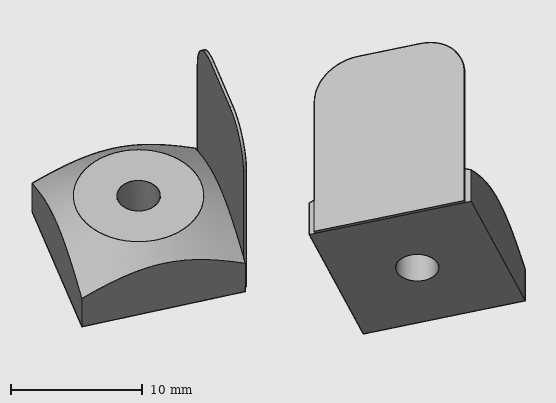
import cadquery as cq
import math

block_side = 13.0
block_height = 6.0
hole_diameter = 3.3
top_face_diameter = 9.92
chamfer_angle = 35.0
corner_clearance = 0.16

plate_width = 12.0
plate_height = 16.0
plate_thickness = 0.25
plate_corner_radius = 3.5


def make_block():
    """Square block, trimmed by a cone around its vertical hole."""
    square = cq.Workplane("XY").rect(block_side, block_side).extrude(block_height)

    top_radius = top_face_diameter / 2
    envelope_radius = block_side * math.sqrt(2) / 2 + corner_clearance
    cone_drop = (envelope_radius - top_radius) * math.tan(math.radians(chamfer_angle))
    envelope = (
        cq.Workplane("XZ")
        .moveTo(0, 0)
        .lineTo(envelope_radius, 0)
        .lineTo(envelope_radius, block_height - cone_drop)
        .lineTo(top_radius, block_height)
        .lineTo(0, block_height)
        .close()
        .revolve(360, (0, 0, 0), (0, 1, 0))
    )
    hole = cq.Workplane("XY").circle(hole_diameter / 2).extrude(block_height)
    return square.intersect(envelope).cut(hole)


def make_plate():
    """Thin plate with rounded top corners, standing on the base plane."""
    return (
        cq.Workplane("XY")
        .box(plate_width, plate_thickness, plate_height, centered=(True, False, False))
        .translate((0, block_side / 2, 0))
        .edges("|Y and >Z")
        .fillet(plate_corner_radius)
    )


block = make_block()
plate = make_plate()

result = cq.Compound.makeCompound([block.val(), plate.val()])